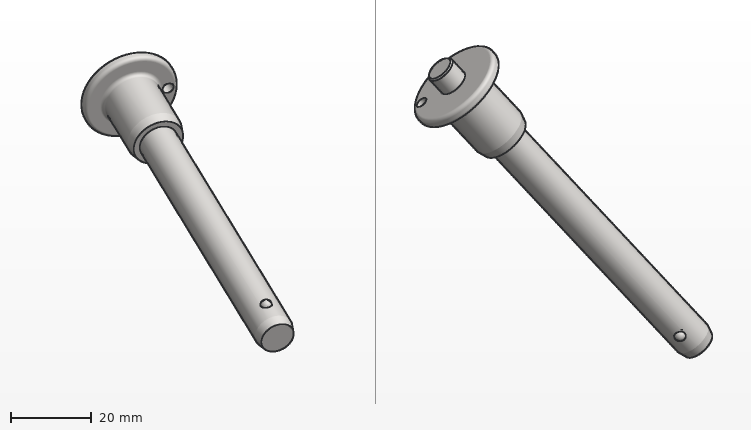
import cadquery as cq
import math

total_length = 105.5
button_radius = 3.75
button_length = 5.5
button_chamfer = 0.4

flange_radius = 12.5
flange_thickness = 3.0
flange_round = 1.0
lanyard_hole_radius = 1.5
lanyard_hole_offset = 9.8

hub_radius = 7.3
hub_length = 18.0
hub_round = 1.0
hub_taper_length = 2.5

shank_radius = 5.0
tip_taper_length = 2.5
taper_angle = math.radians(15)

ball_radius = 1.5
ball_reach = 6.0
ball_to_tip = 7.6

flange_back = button_length + flange_thickness
hub_end = flange_back + hub_length
hub_end_radius = hub_radius - hub_taper_length * math.tan(taper_angle)
tip_radius = shank_radius - tip_taper_length * math.tan(taper_angle)


def quarter_arc_middle(center_x, center_radius, arc_radius, x_side, radius_side):
    """Middle point of a quarter arc on the chosen sides of its center."""
    step = arc_radius * math.sqrt(0.5)
    return (center_x + x_side * step, center_radius + radius_side * step)


def make_balls():
    """Two locking balls on opposite sides of the shank, along Z."""
    balls = []
    for side in (1, -1):
        center = (total_length - ball_to_tip, 0, side * (ball_reach - ball_radius))
        balls.append(cq.Workplane("XY").sphere(ball_radius).translate(center))
    return balls


def turned_profile():
    """Half section from the button to the tip, closed along the X axis."""
    rim_center = flange_radius - flange_round
    front_arc = quarter_arc_middle(button_length + flange_round, rim_center, flange_round, -1, 1)
    back_arc = quarter_arc_middle(flange_back - flange_round, rim_center, flange_round, 1, 1)
    hub_arc = quarter_arc_middle(flange_back + hub_round, hub_radius + hub_round, hub_round, -1, -1)
    return (
        cq.Workplane("XY")
        .lineTo(0, button_radius - button_chamfer)
        .lineTo(button_chamfer, button_radius)
        .lineTo(button_length, button_radius)
        .lineTo(button_length, rim_center)
        .threePointArc(front_arc, (button_length + flange_round, flange_radius))
        .lineTo(flange_back - flange_round, flange_radius)
        .threePointArc(back_arc, (flange_back, rim_center))
        .lineTo(flange_back, hub_radius + hub_round)
        .threePointArc(hub_arc, (flange_back + hub_round, hub_radius))
        .lineTo(hub_end - hub_taper_length, hub_radius)
        .lineTo(hub_end, hub_end_radius)
        .lineTo(hub_end, shank_radius)
        .lineTo(total_length - tip_taper_length, shank_radius)
        .lineTo(total_length, tip_radius)
        .lineTo(total_length, 0)
        .close()
    )


def make_lanyard_hole():
    """Cutter for the hole through the flange."""
    return (
        cq.Workplane("YZ", origin=(button_length, 0, 0))
        .center(lanyard_hole_offset, 0)
        .circle(lanyard_hole_radius)
        .extrude(flange_thickness)
    )


def make_pin(balls):
    """Turned pin with its lanyard hole and a matching seat for each ball."""
    pin = turned_profile().revolve(360, (0, 0, 0), (1, 0, 0))
    pin = pin.cut(make_lanyard_hole())
    for ball in balls:
        pin = pin.cut(ball)
    return pin


locking_balls = make_balls()
pin = make_pin(locking_balls)

result = cq.Compound.makeCompound([pin.val(), *[ball.val() for ball in locking_balls]])